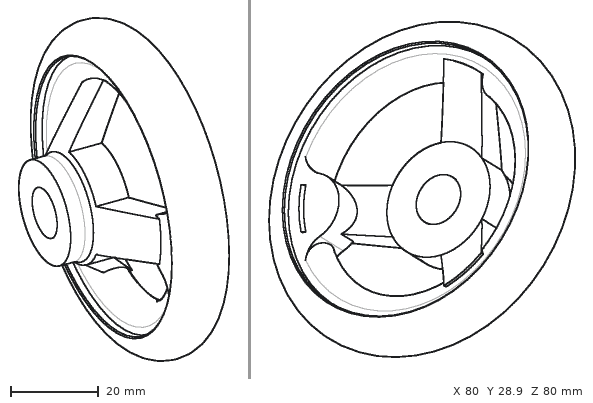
import cadquery as cq
import math

overall_depth = 28.95
outer_radius = 40
tube_radius = 7.0
rim_radius = outer_radius - tube_radius
wall_radius = 32.9
wall_chamfer = 0.3
inner_tube_radius = 5.0
rim_inner_radius = 26.0
inner_tube_center = rim_inner_radius + inner_tube_radius

hub_front = tube_radius - overall_depth
hub_back = -6.9
hub_radius = 13.9
collar_radius = 12.52
collar_fillet_end = -18.3
cone_end_radius = 12.95
bore_radius = 6.0

spoke_count = 3
cone_apex = -29.3
spoke_inner_radius = 9.6
spoke_outer_radius = 29.6
spoke_back_slope = 0.8
spoke_half_width_inner = 6.5
spoke_half_width_outer = 5.75

pad_center = 27.6
pad_radius = 8.4
pad_side_x = 28.3
pad_fillet_radius = 6.4


def cone_front(radius):
    """Y position of the 45 degree front cone at a radius."""
    return cone_apex + radius


def spoke_back(radius):
    """Y position of the spoke back at a radius."""
    return hub_back + spoke_back_slope * (radius - hub_radius)


def revolve_about_y(profile):
    return profile.close().revolve(360, (0, 0, 0), (0, 1, 0))


def cylinder_y(radius, front, back):
    return cq.Workplane("XZ", origin=(0, back, 0)).circle(radius).extrude(back - front)


def make_rim():
    chamfer_radius = wall_radius + wall_chamfer
    crest_y = math.sqrt(tube_radius**2 - (chamfer_radius - rim_radius) ** 2)
    profile = (
        cq.Workplane("XY")
        .moveTo(inner_tube_center, -inner_tube_radius)
        .lineTo(wall_radius, -inner_tube_radius)
        .lineTo(wall_radius, wall_chamfer - crest_y)
        .lineTo(chamfer_radius, -crest_y)
        .threePointArc((outer_radius, 0), (chamfer_radius, crest_y))
        .lineTo(wall_radius, crest_y - wall_chamfer)
        .lineTo(wall_radius, inner_tube_radius)
        .lineTo(inner_tube_center, inner_tube_radius)
        .threePointArc((rim_inner_radius, 0), (inner_tube_center, -inner_tube_radius))
    )
    return revolve_about_y(profile)


def make_spoke_prism():
    """Tapered outline of the spoke along +X, extended through the part."""
    return (
        cq.Workplane("XZ")
        .polyline([
            (spoke_inner_radius, -spoke_half_width_inner),
            (spoke_outer_radius, -spoke_half_width_outer),
            (spoke_outer_radius, spoke_half_width_outer),
            (spoke_inner_radius, spoke_half_width_inner),
        ])
        .close()
        .extrude(outer_radius, both=True)
    )


def make_hub_and_spokes():
    """Hub with a conical web around it, of which only the spokes are kept."""
    cone_end = cone_front(cone_end_radius)
    rise = cone_end_radius - collar_radius
    run = cone_end - collar_fillet_end
    fillet_radius = (rise**2 + run**2) / (2 * rise)
    half_angle = math.asin(run / fillet_radius) / 2
    fillet_middle = (
        collar_radius + fillet_radius * (1 - math.cos(half_angle)),
        collar_fillet_end + fillet_radius * math.sin(half_angle),
    )
    profile = (
        cq.Workplane("XY")
        .moveTo(0, hub_front)
        .lineTo(collar_radius, hub_front)
        .lineTo(collar_radius, collar_fillet_end)
        .threePointArc(fillet_middle, (cone_end_radius, cone_end))
        .lineTo(spoke_outer_radius, cone_front(spoke_outer_radius))
        .lineTo(spoke_outer_radius, spoke_back(spoke_outer_radius))
        .lineTo(hub_radius, hub_back)
        .lineTo(0, hub_back)
    )
    kept = cylinder_y(hub_radius, -outer_radius, outer_radius)
    for index in range(spoke_count):
        angle = index * 360 / spoke_count
        kept = kept.union(make_spoke_prism().rotate((0, 0, 0), (0, 1, 0), angle))
    return revolve_about_y(profile).intersect(kept)


def make_pad():
    """Pad outline, rounded inwards and flared into the rim, flush with its inner band."""
    flare_x = pad_side_x - pad_fillet_radius
    center_distance = pad_radius + pad_fillet_radius
    flare_z = math.sqrt(center_distance**2 - (pad_center - flare_x) ** 2)
    share = pad_radius / center_distance
    tangent_x = pad_center + share * (flare_x - pad_center)
    tangent_z = share * flare_z
    start_angle = math.atan2(tangent_z - flare_z, tangent_x - flare_x)
    flare_mid_x = flare_x + pad_fillet_radius * math.cos(start_angle / 2)
    flare_mid_z = flare_z + pad_fillet_radius * math.sin(start_angle / 2)
    rim_z = math.sqrt(wall_radius**2 - pad_side_x**2)
    return (
        cq.Workplane("XZ", origin=(0, inner_tube_radius, 0))
        .moveTo(pad_side_x, -rim_z)
        .lineTo(pad_side_x, -flare_z)
        .threePointArc((flare_mid_x, -flare_mid_z), (tangent_x, -tangent_z))
        .threePointArc((pad_center - pad_radius, 0), (tangent_x, tangent_z))
        .threePointArc((flare_mid_x, flare_mid_z), (pad_side_x, flare_z))
        .lineTo(pad_side_x, rim_z)
        .threePointArc((wall_radius, 0), (pad_side_x, -rim_z))
        .close()
        .extrude(2 * inner_tube_radius)
    )


result = make_rim().union(make_pad()).union(make_hub_and_spokes())
result = result.cut(cylinder_y(bore_radius, hub_front, hub_back))